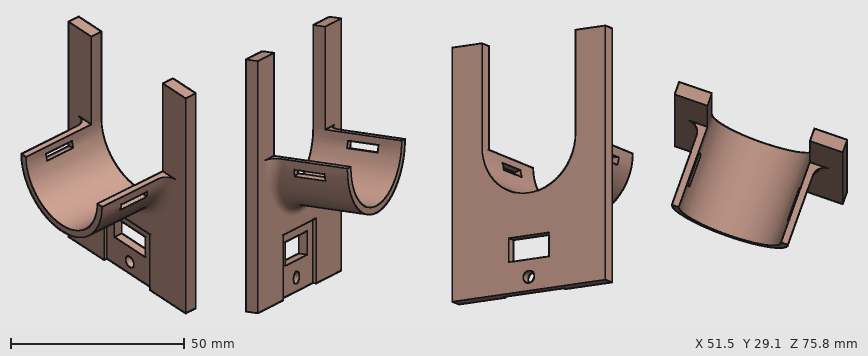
import cadquery as cq
import math

plate_width = 51.5
plate_height = 75.75
plate_thickness = 3.95

bore_radius = 15.7
wall = 2.1
outer_radius = bore_radius + wall
cradle_length = 25.1
cradle_z = 44.85
fillet_radius = 3.5

strap_length = 10.0
strap_height = 2.2
strap_center_y = -12.5
strap_angle = 12.5

recess_width = 20.15
recess_height = 19.6
recess_depth = 1.05
window_width = 13.5
window_height = 7.1
window_bottom = 9.4
hole_diameter = 3.6
hole_z = 4.2


def box(width, depth, height, y, z):
    """Box centred on X = 0, starting at the given Y and Z."""
    return cq.Workplane("XY").box(width, depth, height, centered=(True, False, False)).translate((0, y, z))


def make_plate():
    """Plate with a U-shaped notch, open at the top, that continues the bore."""
    plate = box(plate_width, plate_thickness, plate_height, 0, 0)
    notch = box(2 * bore_radius, plate_thickness, plate_height - cradle_z, 0, cradle_z)
    bore = cq.Workplane("XZ").center(0, cradle_z).circle(bore_radius).extrude(-plate_thickness)
    return plate.cut(notch).cut(bore)


def make_cradle():
    """Lower half of a tube, flared by a concave fillet where it meets the plate."""
    fillet_mid = fillet_radius * (1 - math.sqrt(0.5))
    return (
        cq.Workplane("XY")
        .moveTo(bore_radius, 0)
        .lineTo(outer_radius + fillet_radius, 0)
        .threePointArc((outer_radius + fillet_mid, -fillet_mid), (outer_radius, -fillet_radius))
        .lineTo(outer_radius, -cradle_length)
        .lineTo(bore_radius, -cradle_length)
        .close()
        .revolve(180, (0, 0, 0), (0, 1, 0))
        .translate((0, 0, cradle_z))
    )


def make_strap_slot(side):
    """Radial slot cutter for one side: 1 is +X, -1 is -X."""
    cutter_depth = 3 * wall
    return (
        cq.Workplane("XY")
        .box(cutter_depth, strap_length, strap_height)
        .translate((side * (bore_radius + wall / 2), strap_center_y, 0))
        .rotate((0, 0, 0), (0, 1, 0), side * strap_angle)
        .translate((0, 0, cradle_z))
    )


recess = box(recess_width, recess_depth, recess_height, 0, 0)
window = box(window_width, plate_thickness, window_height, 0, window_bottom)
screw_hole = cq.Workplane("XZ").center(0, hole_z).circle(hole_diameter / 2).extrude(-plate_thickness)

result = make_plate().union(make_cradle())
for side in (-1, 1):
    result = result.cut(make_strap_slot(side))
result = result.cut(recess).cut(window).cut(screw_hole)